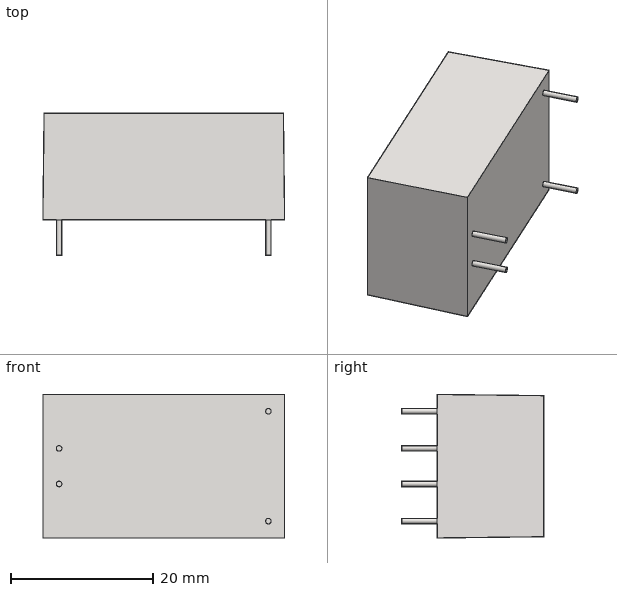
import cadquery as cq

case_length = 34.0
case_height = 20.2
case_depth = 15.0
back_inset = 0.17

pin_diameter = 0.78
pin_length = 5.0
pin_span = 29.4
close_pair_pitch = 5.0
wide_pair_pitch = 15.45


def make_case():
    """Tapered block with its pin face on y = 0 and its back face at +Y."""
    return (
        cq.Workplane("XZ")
        .rect(case_length, case_height)
        .workplane(offset=-case_depth)
        .rect(case_length - 2 * back_inset, case_height - 2 * back_inset)
        .loft(ruled=True)
    )


def make_pins():
    """Four round pins standing out of the pin face toward -Y."""
    centres = []
    for x, pitch in ((-pin_span / 2, close_pair_pitch), (pin_span / 2, wide_pair_pitch)):
        for side in (-1, 1):
            centres.append((x, side * pitch / 2))
    return cq.Workplane("XZ").pushPoints(centres).circle(pin_diameter / 2).extrude(pin_length)


result = make_case().union(make_pins())